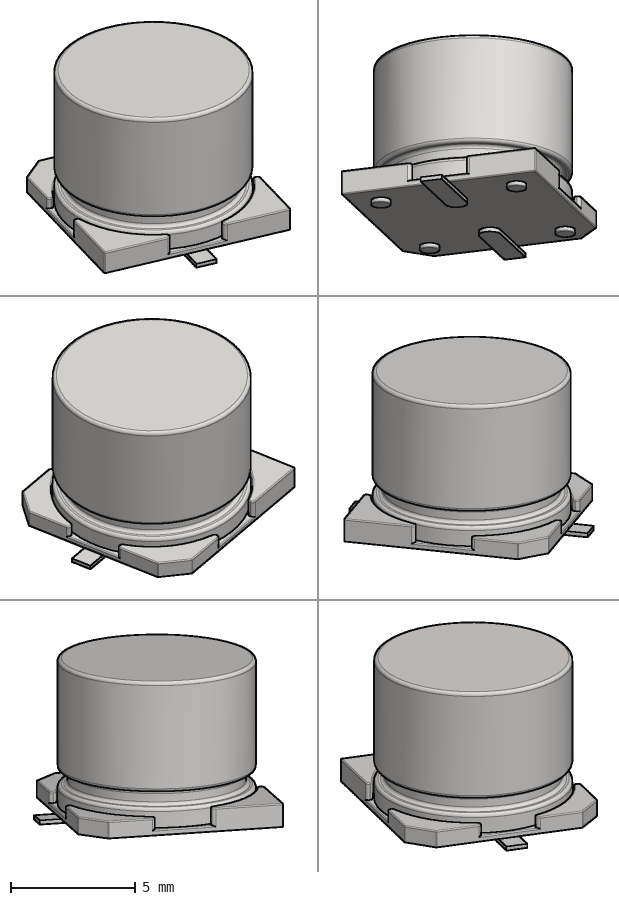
import cadquery as cq

total_height = 6.495
lead_span = 10.0

can_radius = 8.0 / 2
groove_radius = 7.2 / 2
can_edge_radius = 0.15
groove_edge_radius = 0.15
groove_bottom_z = 1.27
groove_top_z = 1.91

base_width = 8.3
base_bottom_z = 0.18
floor_z = 0.44
low_post_top_z = 0.92
high_post_top_z = 1.18
corner_chamfer = 1.0
base_edge_radius = 0.05
seat_radius = 4.06
gap_width = 2.36
post_tip_radius = 0.14

lead_width = 0.9
lead_inner_x = 1.57
foot_diameter = 0.8
foot_offset = 2.9
foot_edge_radius = 0.03

half_base = base_width / 2


def make_can():
    """Revolve the can profile: crimped near the bottom, rounded at every rim."""
    profile = (
        cq.Workplane("XZ")
        .moveTo(0, floor_z)
        .lineTo(can_radius, floor_z)
        .lineTo(can_radius, groove_bottom_z)
        .lineTo(groove_radius, groove_bottom_z)
        .lineTo(groove_radius, groove_top_z)
        .lineTo(can_radius, groove_top_z)
        .lineTo(can_radius, total_height)
        .lineTo(0, total_height)
        .close()
    )
    can = profile.revolve(360, (0, 0, 0), (0, 1, 0))
    groove_zone = cq.selectors.BoxSelector(
        (-base_width, -base_width, groove_bottom_z - groove_edge_radius),
        (base_width, base_width, groove_top_z + groove_edge_radius),
    )
    can = can.edges("%CIRCLE").edges(groove_zone).fillet(groove_edge_radius)
    return can.faces(">Z").edges().fillet(can_edge_radius)


def base_prism(bottom_z, top_z):
    """Square base outline with both -X corners cut off, its upright corners eased."""
    prism = (
        cq.Workplane("XY", origin=(0, 0, bottom_z))
        .rect(base_width, base_width)
        .extrude(top_z - bottom_z)
    )
    prism = prism.edges("|Z and <X").chamfer(corner_chamfer)
    return prism.edges("|Z").fillet(base_edge_radius)


def make_floor():
    """Thin plate under the can, eased around its top and bottom outline."""
    floor = base_prism(base_bottom_z, floor_z)
    return floor.faces("<Z or >Z").edges().fillet(base_edge_radius)


def make_post(x_side, y_side, top_z):
    """One corner post, hollowed for the can, with its two thin tips rounded."""
    half_gap = gap_width / 2
    post_middle = (half_base + half_gap) / 2
    post_size = half_base - half_gap
    corner = (
        cq.Workplane("XY")
        .center(x_side * post_middle, y_side * post_middle)
        .rect(post_size, post_size)
        .extrude(top_z)
    )
    seat = cq.Workplane("XY").circle(seat_radius).extrude(top_z)
    blank = base_prism(base_bottom_z + base_edge_radius, top_z)
    post = blank.intersect(corner).cut(seat)
    x_tip = "<X" if x_side > 0 else ">X"
    y_tip = "<Y" if y_side > 0 else ">Y"
    for tip in (x_tip, y_tip):
        post = post.edges("|Z").edges(tip).fillet(post_tip_radius)
    return post.faces(">Z").edges().fillet(base_edge_radius)


def make_lead(x_side):
    """Flat terminal along X with a full-round inner end."""
    end_centre_x = lead_inner_x + lead_width / 2
    outer_x = lead_span / 2
    length = outer_x - end_centre_x
    strip = (
        cq.Workplane("XY")
        .center(x_side * (end_centre_x + length / 2), 0)
        .rect(length, lead_width)
        .extrude(base_bottom_z)
    )
    round_end = (
        cq.Workplane("XY")
        .center(x_side * end_centre_x, 0)
        .circle(lead_width / 2)
        .extrude(base_bottom_z)
    )
    return strip.union(round_end)


def make_foot(x_side, y_side):
    """Round stand-off under one corner of the base."""
    foot = (
        cq.Workplane("XY")
        .center(x_side * foot_offset, y_side * foot_offset)
        .circle(foot_diameter / 2)
        .extrude(base_bottom_z)
    )
    return foot.faces("<Z").edges().fillet(foot_edge_radius)


result = make_floor().union(make_can())
for x_side in (-1, 1):
    post_top_z = high_post_top_z if x_side > 0 else low_post_top_z
    result = result.union(make_lead(x_side))
    for y_side in (-1, 1):
        result = result.union(make_post(x_side, y_side, post_top_z))
        result = result.union(make_foot(x_side, y_side))